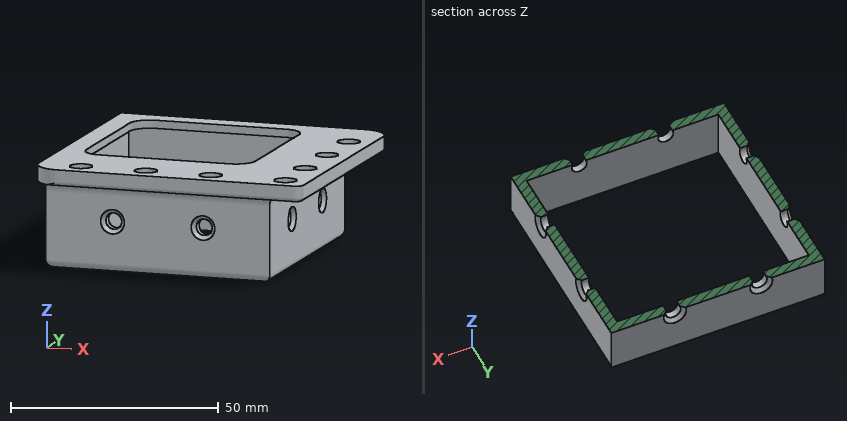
import cadquery as cq
import math

frame_side = 57.0
total_height = 27.0
base_edge_radius = 2.0

plate_side = 69.0
plate_thickness = 4.0
plate_edge_radius = 1.0
large_corner_radius = 7.0
small_corner_radius = 2.0
overhang_fillet_radius = 4.0

window_side = 43.0
window_offset = 6.0
window_corner_radius = 5.0
wall_thickness = 3.0
lip_thickness = 2.0
cavity_side = frame_side - 2 * wall_thickness

mount_diameter = 5.5
mount_edge_distance = 6.0
mount_pitch = 16.5
mount_count = 3
first_mount_x = 11.0
first_mount_from_back = 15.0

wall_hole_diameter = 4.0
countersink_diameter = 6.0
countersink_angle = 90.0
wall_hole_spacing = 23.0
wall_hole_height = 12.5

overhang = plate_side - frame_side
plate_bottom = total_height - plate_thickness
frame_center_x = frame_side / 2
frame_center_y = overhang + frame_side / 2


def box_at(x, y, z, length, width, height):
    """Box whose minimum corner is at (x, y, z)."""
    return cq.Workplane("XY").box(length, width, height, centered=False).translate((x, y, z))


def make_frame():
    """Solid frame block with rounded bottom edges."""
    frame = box_at(0, overhang, 0, frame_side, frame_side, total_height)
    return frame.faces("<Z").edges().fillet(base_edge_radius)


def make_plate():
    """Plate with its underside rounded, except along the sides flush with the frame."""
    plate = box_at(0, 0, plate_bottom, plate_side, plate_side, plate_thickness)
    plate = plate.edges("|Z and >X and <Y").fillet(small_corner_radius)
    rounded_edges = plate.faces("<Z").edges("not(<X or >Y)")
    return rounded_edges.fillet(plate_edge_radius)


def overhang_fillet(plane, wall, outward, length):
    """Concave strip joining a frame wall to the underside of the plate."""
    radius = overhang_fillet_radius
    tip = (wall + outward * radius, plate_bottom)
    arc_sag = radius * (1 - math.sqrt(0.5))
    arc_middle = (wall + outward * arc_sag, plate_bottom - arc_sag)
    return (
        cq.Workplane(plane)
        .moveTo(wall, plate_bottom)
        .lineTo(*tip)
        .threePointArc(arc_middle, (wall, plate_bottom - radius))
        .close()
        .extrude(length)
    )


def make_overhang_fillets():
    """Strips along the -Y and +X walls, mitred together at the frame's corner."""
    reach = frame_side + overhang_fillet_radius
    along_x = overhang_fillet("YZ", overhang, -1, reach)
    along_y = overhang_fillet("XZ", frame_side, 1, reach)
    along_y = along_y.translate((0, plate_side, 0))
    strip_x = along_x.intersect(box_at(0, 0, 0, frame_side, plate_side, total_height))
    strip_y = along_y.intersect(box_at(0, overhang, 0, plate_side, frame_side, total_height))
    return strip_x.union(strip_y).union(along_x.intersect(along_y))


def corner_waste(x, y, inward_x, inward_y):
    """Material outside a large rounded plate corner, through the plate only."""
    radius = large_corner_radius
    center_x = x + inward_x * radius
    center_y = y + inward_y * radius
    square = box_at(min(x, center_x), min(y, center_y), plate_bottom, radius, radius, plate_thickness)
    disc = (
        cq.Workplane("XY", origin=(center_x, center_y, plate_bottom))
        .circle(radius)
        .extrude(plate_thickness)
    )
    return square.cut(disc)


def make_opening():
    """Round-cornered window at the top, opening into a square cavity below."""
    window = box_at(
        window_offset, plate_side - window_offset - window_side, 0,
        window_side, window_side, total_height,
    )
    window = window.edges("|Z").fillet(window_corner_radius)
    cavity = box_at(
        wall_thickness, overhang + wall_thickness, 0,
        cavity_side, cavity_side, total_height - lip_thickness,
    )
    return window.union(cavity)


def mount_holes():
    """Corner hole plus a row along the -Y and +X sides, also clearing the concave strips."""
    row_edge_x = plate_side - mount_edge_distance
    points = [(row_edge_x, mount_edge_distance)]
    for i in range(mount_count):
        step = i * mount_pitch
        points.append((first_mount_x + step, mount_edge_distance))
        points.append((row_edge_x, plate_side - first_mount_from_back - step))
    hole_bottom = plate_bottom - overhang_fillet_radius
    return (
        cq.Workplane("XY", origin=(0, 0, hole_bottom))
        .pushPoints(points)
        .circle(mount_diameter / 2)
        .extrude(total_height - hole_bottom)
    )


def wall_hole():
    """Hole along +Z through the whole frame, countersunk at both ends."""
    radius = wall_hole_diameter / 2
    sink_radius = countersink_diameter / 2
    sink_depth = (sink_radius - radius) / math.tan(math.radians(countersink_angle / 2))
    half = frame_side / 2
    return (
        cq.Workplane("XZ")
        .polyline([
            (0, -half),
            (sink_radius, -half),
            (radius, -half + sink_depth),
            (radius, half - sink_depth),
            (sink_radius, half),
            (0, half),
        ])
        .close()
        .revolve(360, (0, 0, 0), (0, 1, 0))
    )


def cut_wall_holes(body):
    """Two holes through each pair of opposite walls."""
    along_x = wall_hole().rotate((0, 0, 0), (0, 1, 0), 90)
    along_y = wall_hole().rotate((0, 0, 0), (1, 0, 0), 90)
    for side in (-1, 1):
        shift = side * wall_hole_spacing / 2
        body = body.cut(along_x.translate((frame_center_x, frame_center_y + shift, wall_hole_height)))
        body = body.cut(along_y.translate((frame_center_x + shift, frame_center_y, wall_hole_height)))
    return body


body = make_frame().union(make_plate()).union(make_overhang_fillets())
body = body.cut(corner_waste(0, 0, 1, 1))
body = body.cut(corner_waste(plate_side, plate_side, -1, -1))
body = body.cut(make_opening())
body = body.cut(mount_holes())
result = cut_wall_holes(body)